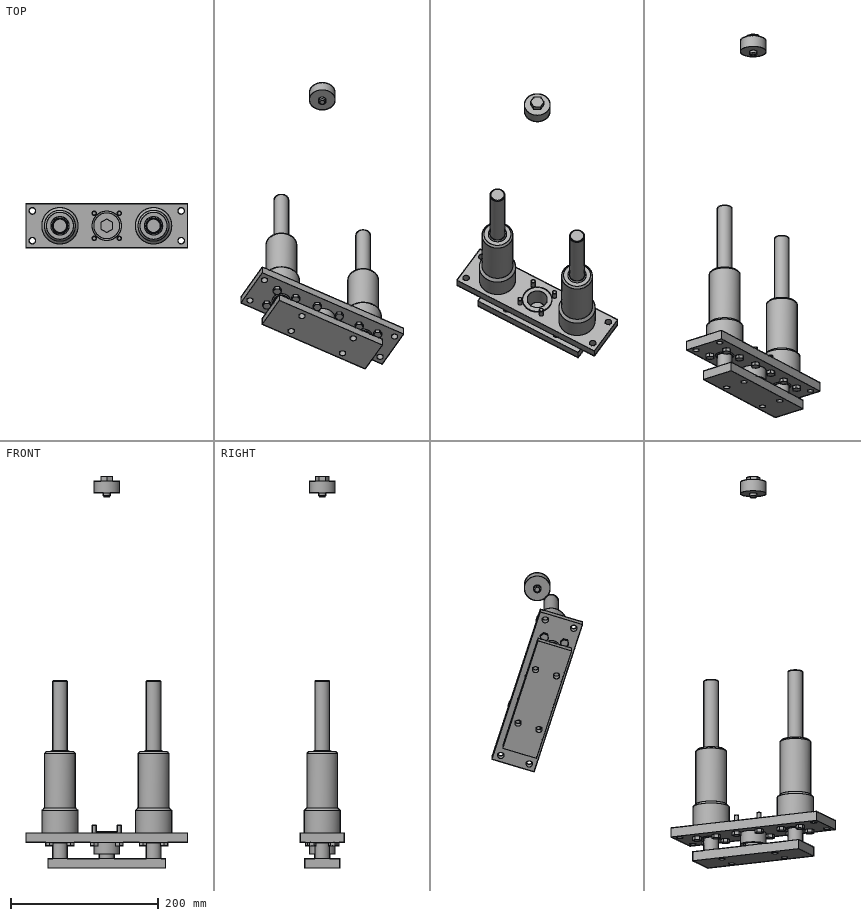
import cadquery as cq

total_height = 532.5
plate_thickness = 13.0

ram_length = 160.0
ram_width = 48.0
ram_hole_diameter = 8.5
ram_hole_x = 40.0
ram_hole_y = 15.0
rod_diameter = 20.0
rod_spacing = 127.0
rod_x = rod_spacing / 2
rod_top_z = 255.0
rod_chamfer = 1.0
stem_diameter = 21.0
stem_top_z = 26.5

guide_length = 220.0
guide_width = 60.0
guide_bottom_z = 35.0
guide_top_z = guide_bottom_z + plate_thickness
corner_hole_diameter = 8.5
corner_hole_x = 101.0
corner_hole_y = 20.0

housing_base_diameter = 49.5
housing_diameter = 42.0
housing_step_z = 78.0
housing_top_z = 158.5
housing_top_chamfer = 2.5
lip_diameter = 25.0
lip_end_diameter = 21.5
lip_height = 1.0

sleeve_diameter = 35.0
sleeve_bore = 27.0
sleeve_bottom_z = 19.0
collar_diameter = 40.0
collar_height = 1.5

screw_diameter = 6.0
screw_chamfer = 0.5
screw_top_z = 58.5
head_across_flats = 10.0
head_height = 5.0
sleeve_screw_offset = 17.0
housing_screw_offset = 14.5

plug_diameter = 35.0
plug_body_height = 16.0
plug_hex_across_flats = 16.0
plug_hex_height = 6.5
plug_tip_diameter = 10.0
plug_tip_height = 5.5
plug_tip_chamfer = 1.5


def cylinder(diameter, bottom_z, top_z, x=0, y=0):
    """Upright cylinder between two heights."""
    return cq.Workplane("XY", origin=(x, y, bottom_z)).circle(diameter / 2).extrude(top_z - bottom_z)


def cone(bottom_diameter, top_diameter, bottom_z, top_z, x=0):
    """Upright truncated cone between two heights."""
    return (
        cq.Workplane("XY", origin=(x, 0, bottom_z))
        .circle(bottom_diameter / 2)
        .workplane(offset=top_z - bottom_z)
        .circle(top_diameter / 2)
        .loft()
    )


def hexagon(across_flats, bottom_z, height, x=0, y=0):
    """Upright hexagonal prism with two of its corners on the Y direction."""
    return (
        cq.Workplane("XY", origin=(x, y, bottom_z))
        .polygon(6, across_flats, circumscribed=True)
        .extrude(height)
    )


def plate(length, width, bottom_z, hole_x, hole_y, hole_diameter):
    """Rectangular plate with four through holes, one per quadrant."""
    return (
        cq.Workplane("XY")
        .box(length, width, plate_thickness, centered=(True, True, False))
        .faces(">Z")
        .workplane()
        .rect(2 * hole_x, 2 * hole_y, forConstruction=True)
        .vertices()
        .hole(hole_diameter)
        .translate((0, 0, bottom_z))
    )


def square_corners(offset, x=0):
    """Four points at the corners of a square centred on (x, 0)."""
    return [(x + i * offset, j * offset) for i in (-1, 1) for j in (-1, 1)]


def make_ram():
    """Lower plate carrying the two guide rods and the central stem."""
    ram = plate(ram_length, ram_width, 0, ram_hole_x, ram_hole_y, ram_hole_diameter)
    for x in (-rod_x, rod_x):
        rod = cylinder(rod_diameter, plate_thickness, rod_top_z, x).faces(">Z").chamfer(rod_chamfer)
        ram = ram.union(rod)
    return ram.union(cylinder(stem_diameter, plate_thickness, stem_top_z))


def make_housing(x):
    """Stepped guide housing with a conical shoulder and a conical lip around the rod at each end."""
    barrel_radius = housing_diameter / 2
    base_radius = housing_base_diameter / 2
    shoulder_top_z = housing_step_z + base_radius - barrel_radius
    return (
        cq.Workplane("XZ")
        .moveTo(0, guide_top_z)
        .lineTo(base_radius, guide_top_z)
        .lineTo(base_radius, housing_step_z)
        .lineTo(barrel_radius, shoulder_top_z)
        .lineTo(barrel_radius, housing_top_z - housing_top_chamfer)
        .lineTo(barrel_radius - housing_top_chamfer, housing_top_z)
        .lineTo(0, housing_top_z)
        .close()
        .revolve(360, (0, 0), (0, 1))
        .union(cone(lip_diameter, lip_end_diameter, housing_top_z, housing_top_z + lip_height))
        .union(cone(lip_end_diameter, lip_diameter, guide_bottom_z - lip_height, guide_bottom_z))
        .translate((x, 0, 0))
    )


def make_guide():
    """Guide plate with both housings, the central sleeve and all screws."""
    guide = plate(
        guide_length, guide_width, guide_bottom_z, corner_hole_x, corner_hole_y, corner_hole_diameter
    )
    head_positions = square_corners(sleeve_screw_offset)
    for x in (-rod_x, rod_x):
        guide = guide.union(make_housing(x))
        head_positions += square_corners(housing_screw_offset, x)
    guide = guide.union(cylinder(collar_diameter, guide_top_z, guide_top_z + collar_height))
    guide = guide.union(cylinder(sleeve_diameter, sleeve_bottom_z, guide_bottom_z))
    for x, y in head_positions:
        guide = guide.union(hexagon(head_across_flats, guide_bottom_z - head_height, head_height, x, y))
    for x, y in square_corners(sleeve_screw_offset):
        shank = cylinder(screw_diameter, guide_top_z, screw_top_z, x, y).faces(">Z").chamfer(screw_chamfer)
        guide = guide.union(shank)
    guide = guide.cut(cylinder(sleeve_bore, sleeve_bottom_z, guide_top_z + collar_height))
    for x in (-rod_x, rod_x):
        guide = guide.cut(cylinder(rod_diameter, plate_thickness, rod_top_z, x))
    return guide


def make_plug():
    """Round plug with a hexagon on top and a tapered tip below."""
    hex_bottom_z = total_height - plug_hex_height
    body_bottom_z = hex_bottom_z - plug_body_height
    tip = cylinder(plug_tip_diameter, body_bottom_z - plug_tip_height, body_bottom_z)
    tip = tip.faces("<Z").chamfer(plug_tip_chamfer)
    body = cylinder(plug_diameter, body_bottom_z, hex_bottom_z)
    hex_head = hexagon(plug_hex_across_flats, hex_bottom_z, plug_hex_height)
    return body.union(hex_head).union(tip)


ram = make_ram()
guide = make_guide()
plug = make_plug()

result = cq.Compound.makeCompound([ram.val(), guide.val(), plug.val()])